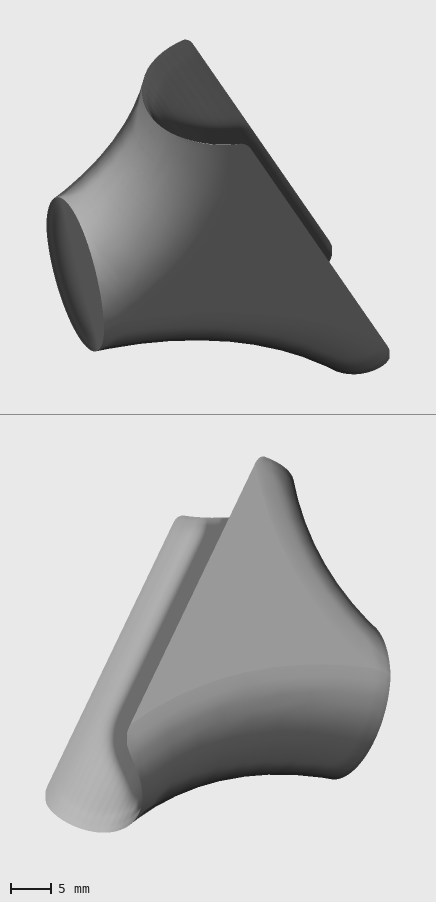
import cadquery as cq
import math

width = 20.0
depth = 38.0
height = 50.0
tube_radius = width / 2

upper_bend_radius = 35.0
upper_bend_centre = (-14.85, 55.2)
lower_bend_radius = 60.0
lower_bend_centre = (-3.9, -35.0)

saddle_radius = 10.1
saddle_tilt = 24.1
saddle_floor_top_y = 9.45
saddle_length = 3 * height


def bent_side(bend_radius, centre):
    """Envelope with one side shaped as the inner half of a bent tube."""
    y, z = centre
    envelope = cq.Workplane("XY").box(width, depth, height, centered=(True, False, False))
    disc = (
        cq.Workplane("YZ", origin=(-width / 2, 0, 0))
        .center(y, z)
        .circle(bend_radius)
        .extrude(width)
    )
    half_tube = (
        cq.Workplane("XY", origin=(0, y, z))
        .moveTo(-tube_radius, bend_radius)
        .threePointArc((0, bend_radius - tube_radius), (tube_radius, bend_radius))
        .close()
        .revolve(360, (0, 0, 0), (1, 0, 0))
    )
    return envelope.cut(disc).union(envelope.intersect(half_tube))


def saddle_cutter():
    """Round-bottomed channel, open toward the back."""
    axis_top_y = saddle_floor_top_y + saddle_radius / math.cos(math.radians(saddle_tilt))
    seat = cq.Workplane("XY").circle(saddle_radius).extrude(saddle_length / 2, both=True)
    opening = cq.Workplane("XY").box(
        2 * saddle_radius, saddle_length, saddle_length, centered=(True, False, True)
    )
    channel = seat.union(opening)
    return channel.rotate((0, 0, 0), (1, 0, 0), saddle_tilt).translate((0, axis_top_y, height))


upper_side = bent_side(upper_bend_radius, upper_bend_centre)
lower_side = bent_side(lower_bend_radius, lower_bend_centre)
result = upper_side.intersect(lower_side).cut(saddle_cutter())